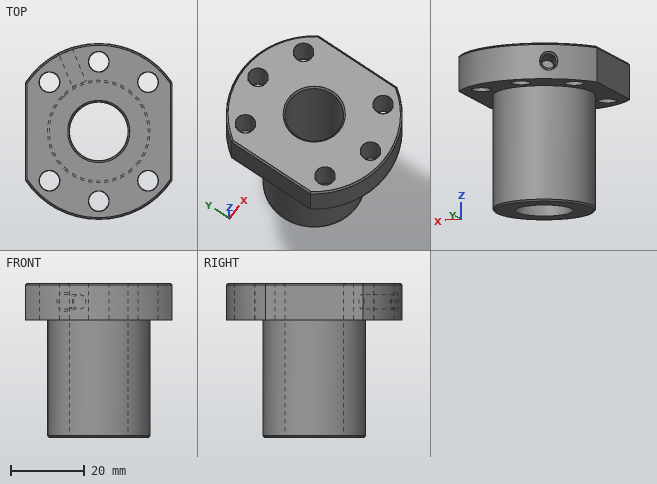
import cadquery as cq
import math

flange_diameter = 48.0
flange_width = 40.0
flange_thickness = 10.0
total_height = 42.0
body_diameter = 28.0
bore_diameter = 16.0
edge_chamfer = 0.5

mount_hole_diameter = 5.5
mount_circle_diameter = 38.0
mount_hole_angles = (45, 90, 135, 225, 270, 315)

port_diameter = 4.0
port_mouth_diameter = 5.2
port_depth = 10.0
port_angle = 112.5
port_countersink_depth = (port_mouth_diameter - port_diameter) / 2

flange_radius = flange_diameter / 2
flange_bottom = total_height - flange_thickness


def make_flange():
    """Round flange with two flats facing -X and +X and a chamfered top edge."""
    disc = (
        cq.Workplane("XY")
        .workplane(offset=flange_bottom)
        .circle(flange_radius)
        .extrude(flange_thickness)
    )
    flats = cq.Workplane("XY").box(flange_width, flange_diameter, total_height, centered=(True, True, False))
    return disc.intersect(flats).faces(">Z").edges().chamfer(edge_chamfer)


def make_body():
    """Cylindrical nut body with a chamfered lower edge."""
    body = cq.Workplane("XY").circle(body_diameter / 2).extrude(flange_bottom)
    return body.faces("<Z").edges().chamfer(edge_chamfer)


def drill_bore(part):
    """Through bore along Z, chamfered where it opens in the flange face."""
    bored = part.cut(cq.Workplane("XY").circle(bore_diameter / 2).extrude(total_height))
    mouth = cq.Solid.makeCone(
        bore_diameter / 2,
        bore_diameter / 2 + edge_chamfer,
        edge_chamfer,
        pnt=cq.Vector(0, 0, total_height - edge_chamfer),
    )
    return bored.cut(cq.Workplane(mouth))


def drill_mount_holes(part):
    """Six plain through holes on one circle, leaving the sides with the flats clear."""
    mount_radius = mount_circle_diameter / 2
    centers = [
        (mount_radius * math.cos(math.radians(angle)), mount_radius * math.sin(math.radians(angle)))
        for angle in mount_hole_angles
    ]
    holes = cq.Workplane("XY").pushPoints(centers).circle(mount_hole_diameter / 2).extrude(total_height)
    return part.cut(holes)


def drill_oil_port(part):
    """Countersunk radial hole at mid-thickness of the flange, blind short of the bore."""
    outward = cq.Vector(math.cos(math.radians(port_angle)), math.sin(math.radians(port_angle)), 0)
    center = cq.Vector(0, 0, flange_bottom + flange_thickness / 2)
    hole_bottom = center + outward * (flange_radius - port_depth)
    hole = cq.Solid.makeCylinder(port_diameter / 2, port_depth, hole_bottom, outward)
    countersink = cq.Solid.makeCone(
        port_diameter / 2,
        port_mouth_diameter / 2,
        port_countersink_depth,
        pnt=center + outward * (flange_radius - port_countersink_depth),
        dir=outward,
    )
    return part.cut(cq.Workplane(hole)).cut(cq.Workplane(countersink))


result = make_body().union(make_flange())
result = drill_bore(result)
result = drill_mount_holes(result)
result = drill_oil_port(result)